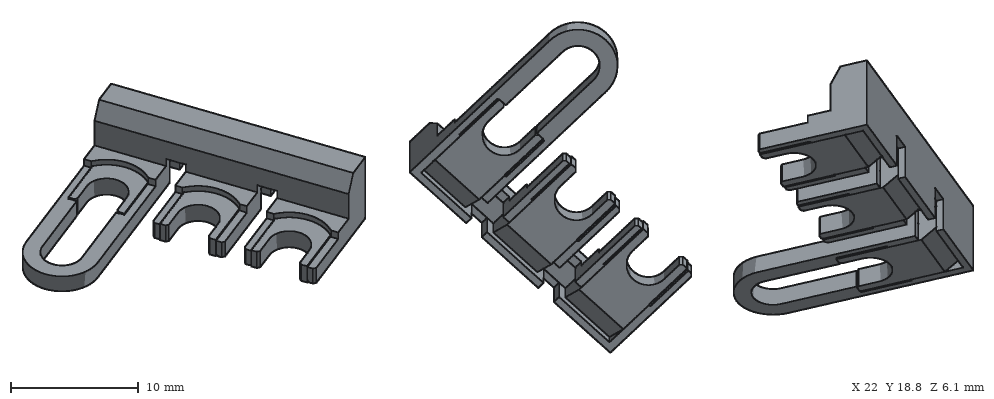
import cadquery as cq
import math


length = 22.0
height = 6.1
bar_depth = 3.1
bar_top_depth = 2.25
bar_slope_drop = 1.5

foot_count = 3
foot_width = 6.2
foot_pitch = (length - foot_width) / (foot_count - 1)
foot_top = 2.15
foot_reach = 5.03
rail_top = 1.5
rail_reach = 9.28
gap_top = 2.85
tip_chamfer = 0.2

link_reach = 18.8
link_radius = foot_width / 2
link_slot_radius = 1.7
link_center_y = link_radius - link_reach

fork_width = 4.84
fork_top = 1.63
fork_reach = 9.35
fork_slot_radius = 1.72
fork_center_y = -7.45
window_radius = 3.45
window_mouth_half = 2.48
window_arc_half = 2.35
lead_in = 0.15
fork_inset = (foot_width - fork_width) / 2

front_wall = 0.7
back_wall = 0.6
channel_front_y = front_wall - bar_depth
channel_back_y = -back_wall
spine_bottom = gap_top
spine_top = 4.5
spine_left = fork_inset
spine_length = length - 2 * fork_inset
ramp_setback = 0.25
ramp_angle = 34.0

foot_lefts = [i * foot_pitch for i in range(foot_count)]


def block(x0, x1, y0, y1, z0, z1):
    """Box between two opposite corners."""
    return cq.Workplane("XY").box(x1 - x0, y1 - y0, z1 - z0, centered=False).translate((x0, y0, z0))


def side_profile(points, x0, width):
    """Extrude a (Y, Z) outline along +X from x0."""
    return cq.Workplane("YZ").polyline(points).close().extrude(width).translate((x0, 0, 0))


def cylinder(x, y, radius, z0, z1):
    """Upright cylinder about (x, y)."""
    return cq.Workplane("XY").center(x, y).circle(radius).extrude(z1 - z0).translate((0, 0, z0))


def make_bar():
    bar = side_profile(
        [
            (0, 0),
            (0, height),
            (-bar_top_depth, height),
            (-bar_depth, height - bar_slope_drop),
            (-bar_depth, 0),
        ],
        0,
        length,
    )
    for left in foot_lefts[:-1]:
        bar = bar.cut(block(left + foot_width, left + foot_pitch, -bar_depth, 0, 0, gap_top))
    return bar


def make_foot(left):
    """Raised shoulder with a low plate that becomes the two rails once the fork pocket is cut."""
    shoulder = block(left, left + foot_width, -foot_reach, -bar_depth, 0, foot_top)
    rails = block(left, left + foot_width, -rail_reach, -foot_reach, 0, rail_top)
    rails = rails.faces("<Y").edges("|Z").chamfer(tip_chamfer)
    return shoulder.union(rails)


def make_link():
    """Long plate with a round end and a slot, running on from the first foot."""
    plate = block(0, foot_width, link_center_y, -foot_reach, 0, rail_top)
    plate = plate.union(cylinder(link_radius, link_center_y, link_radius, 0, rail_top))
    slot = block(
        link_radius - link_slot_radius,
        link_radius + link_slot_radius,
        link_center_y,
        -fork_reach,
        0,
        rail_top,
    )
    slot = slot.union(cylinder(link_radius, link_center_y, link_slot_radius, 0, rail_top))
    return plate.cut(slot)


def window_mouth(center_x):
    """Slight flare where the round back of the window meets the front of the shoulder."""
    arc_end_y = fork_center_y + math.sqrt(window_radius**2 - window_arc_half**2)
    return (
        cq.Workplane("XY")
        .polyline(
            [
                (center_x - window_mouth_half, -foot_reach),
                (center_x - window_arc_half, arc_end_y),
                (center_x + window_arc_half, arc_end_y),
                (center_x + window_mouth_half, -foot_reach),
            ]
        )
        .close()
        .extrude(foot_top - fork_top)
        .translate((0, 0, fork_top))
    )


def fork_pocket(left):
    """Pocket for one fork: a seat open below, lead-in bevels, and a round-backed window above it."""
    x0 = left + fork_inset
    x1 = x0 + fork_width
    seat = block(x0, x1, -fork_reach, channel_front_y, 0, fork_top)
    bevels = (
        cq.Workplane("XZ")
        .polyline([(x0 - lead_in, 0), (x0, lead_in), (x1, lead_in), (x1 + lead_in, 0)])
        .close()
        .extrude(rail_reach - foot_reach)
        .translate((0, -foot_reach, 0))
    )
    window = cylinder(left + foot_width / 2, fork_center_y, window_radius, fork_top, foot_top)
    window = window.intersect(block(x0, x1, -fork_reach, -bar_depth, fork_top, foot_top))
    return seat.union(bevels).union(window).union(window_mouth(left + foot_width / 2))


def make_housing():
    housing = make_bar()
    for left in foot_lefts:
        housing = housing.union(make_foot(left))
    housing = housing.union(make_link())
    for left in foot_lefts:
        housing = housing.cut(fork_pocket(left))
    channel = block(
        spine_left, spine_left + spine_length, channel_front_y, channel_back_y, 0, spine_top
    )
    return housing.cut(channel)


def make_fork(left):
    """U-shaped fork with a stem that rises to the spine over a ramped underside."""
    x0 = left + fork_inset
    x1 = x0 + fork_width
    center_x = left + foot_width / 2
    ramp_start_y = channel_front_y + ramp_setback
    ramp_rise = (channel_back_y - ramp_start_y) * math.tan(math.radians(ramp_angle))

    blade = block(x0, x1, -fork_reach, channel_front_y, 0, fork_top)
    slot = block(
        center_x - fork_slot_radius,
        center_x + fork_slot_radius,
        -fork_reach,
        fork_center_y,
        0,
        fork_top,
    )
    slot = slot.union(cylinder(center_x, fork_center_y, fork_slot_radius, 0, fork_top))
    blade = blade.cut(slot)
    leg_inner_edges = cq.selectors.BoxSelector(
        (center_x - fork_slot_radius - tip_chamfer, -fork_reach - tip_chamfer, 0),
        (center_x + fork_slot_radius + tip_chamfer, -fork_reach + tip_chamfer, fork_top),
    )
    blade = blade.edges("|Z").edges(leg_inner_edges).chamfer(tip_chamfer)

    stem = side_profile(
        [
            (channel_front_y, 0),
            (ramp_start_y, 0),
            (channel_back_y, ramp_rise),
            (channel_back_y, spine_bottom),
            (channel_front_y, spine_bottom),
        ],
        x0,
        fork_width,
    )
    return blade.union(stem)


def make_comb():
    comb = block(
        spine_left,
        spine_left + spine_length,
        channel_front_y,
        channel_back_y,
        spine_bottom,
        spine_top,
    )
    for left in foot_lefts:
        comb = comb.union(make_fork(left))
    return comb


housing = make_housing()
comb = make_comb()

result = cq.Compound.makeCompound([housing.solids().val(), comb.solids().val()])